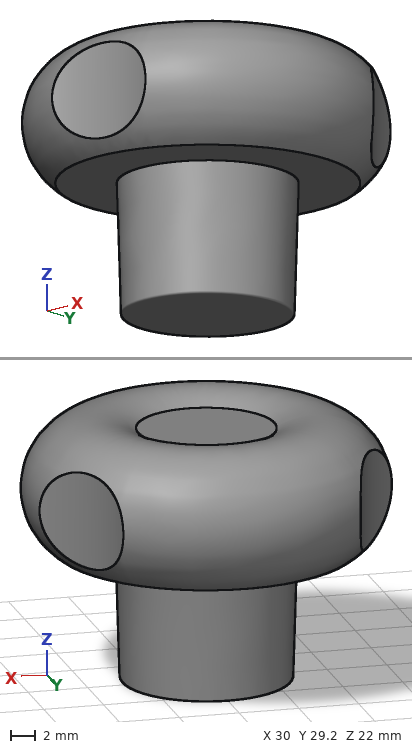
import cadquery as cq
import math

outer_radius = 15.0
section_radius = 6.0
section_center_radius = outer_radius - section_radius
flat_offset = 15 / 3
flat_reach = math.sqrt(section_radius**2 - flat_offset**2)

stem_length = 33 / 3
stem_top_radius = 7.35
stem_bottom_radius = 7.02
stem_edge_fillet = 0.18

scallop_count = 3
scallop_center_radius = 2 * outer_radius
scallop_radius = 16.5
first_scallop_angle = -90.0


def make_head():
    """Revolve the head about Z, with the ring's mid-plane at Z = 0."""
    dimple_edge = section_center_radius - flat_reach
    underside_edge = section_center_radius + flat_reach
    return (
        cq.Workplane("XZ")
        .moveTo(0, -flat_offset)
        .lineTo(underside_edge, -flat_offset)
        .threePointArc((section_center_radius, section_radius), (dimple_edge, flat_offset))
        .lineTo(0, flat_offset)
        .close()
        .revolve(360, (0, 0, 0), (0, 1, 0))
    )


def make_stem():
    """Cone narrowing downward from the head's underside, with a rounded lower edge."""
    stem_bottom = -flat_offset - stem_length
    return (
        cq.Workplane("XZ")
        .moveTo(0, -flat_offset)
        .lineTo(stem_top_radius, -flat_offset)
        .lineTo(stem_bottom_radius, stem_bottom)
        .lineTo(0, stem_bottom)
        .close()
        .revolve(360, (0, 0, 0), (0, 1, 0))
        .faces("<Z")
        .edges()
        .fillet(stem_edge_fillet)
    )


def make_scallops():
    """Upright cylinders that cut the finger grips into the rim."""
    return (
        cq.Workplane("XY")
        .workplane(offset=-section_radius)
        .polarArray(scallop_center_radius, first_scallop_angle, 360, scallop_count)
        .circle(scallop_radius)
        .extrude(2 * section_radius)
    )


result = make_head().cut(make_scallops()).union(make_stem())